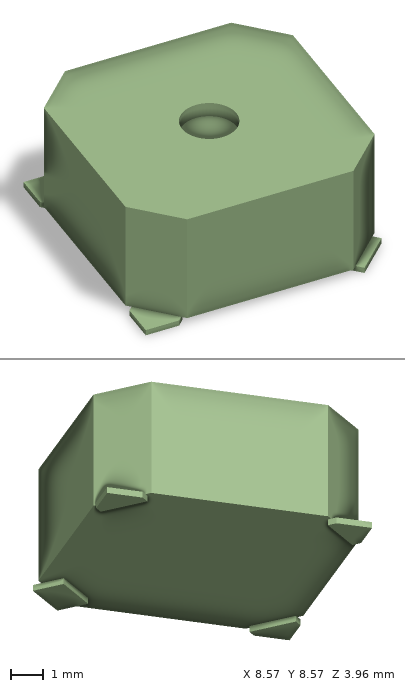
import cadquery as cq

overall_side = 8.57
overall_height = 3.96
tab_overhang = 0.07
body_side = overall_side - tab_overhang
corner_cut = 1.41
half_side = body_side / 2

hole_diameter = 1.85
hole_depth = 0.5

pad_thickness = 0.2
pad_leg = 1.14
pad_inset = 0.21
tab_run = 0.75


def make_body():
    """Octagonal block with a blind hole in its top face."""
    block = (
        cq.Workplane("XY")
        .workplane(offset=pad_thickness)
        .rect(body_side, body_side)
        .extrude(overall_height - pad_thickness)
        .edges("|Z")
        .chamfer(corner_cut)
    )
    return block.faces(">Z").workplane().hole(hole_diameter, hole_depth)


def make_corner_pad(x_side, y_side):
    """Diagonal strip ending in a square point at one corner of the body."""
    distances_from_corner = [
        (0, 0),
        (pad_leg, 0),
        (pad_leg + pad_inset, pad_inset),
        (pad_inset, pad_leg + pad_inset),
        (0, pad_leg),
    ]
    outline = [
        (x_side * (half_side - dx), y_side * (half_side - dy))
        for dx, dy in distances_from_corner
    ]
    return cq.Workplane("XY").polyline(outline).close().extrude(pad_thickness)


def make_polarity_tab():
    """Square-ended diagonal strip at the +X +Y corner."""
    outer = half_side + tab_overhang
    outline = [
        (outer - pad_leg, outer),
        (outer, outer - pad_leg),
        (outer - tab_run, outer - pad_leg - tab_run),
        (outer - pad_leg - tab_run, outer - tab_run),
    ]
    return cq.Workplane("XY").polyline(outline).close().extrude(pad_thickness)


result = make_body().union(make_polarity_tab())
for x_side, y_side in [(-1, -1), (1, -1), (-1, 1)]:
    result = result.union(make_corner_pad(x_side, y_side))